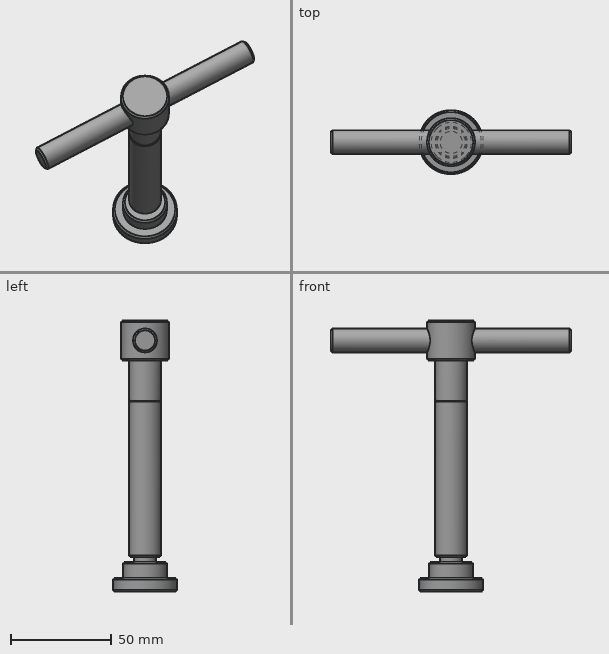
import cadquery as cq

flange_diameter = 32.0
flange_height = 7.0
collar_diameter = 22.0
collar_height = 8.0
neck_diameter = 11.0
neck_height = 2.3

shaft_diameter = 16.0
thread_length = 78.0
shank_length = 20.0
groove_width = 0.6
groove_depth = 0.4

head_diameter = 24.0
head_height = 20.0
bar_diameter = 12.0
bar_length = 120.0

edge_chamfer = 1.0

collar_base = flange_height
neck_base = collar_base + collar_height
thread_base = neck_base + neck_height
shank_base = thread_base + thread_length
head_base = shank_base + shank_length
bar_height = head_base + head_height / 2


def cylinder(diameter, height, base):
    """Upright cylinder on the Z axis, starting at the given height."""
    return cq.Workplane("XY").workplane(offset=base).circle(diameter / 2).extrude(height)


def make_pad():
    """Chamfered flange, stepped collar and the narrow neck above it."""
    flange = cylinder(flange_diameter, flange_height, 0).edges().chamfer(edge_chamfer)
    collar = cylinder(collar_diameter, collar_height, collar_base).faces(">Z").edges().chamfer(edge_chamfer)
    neck = cylinder(neck_diameter, neck_height, neck_base)
    return flange.union(collar).union(neck)


def make_groove():
    """Square-cornered ring whose upper edge is at the foot of the shank."""
    base = shank_base - groove_width
    ring = cylinder(shaft_diameter, groove_width, base)
    return ring.cut(cylinder(shaft_diameter - 2 * groove_depth, groove_width, base))


def make_shaft():
    """Shaft with a chamfered lower end and the fine groove."""
    shaft = cylinder(shaft_diameter, thread_length + shank_length, thread_base)
    return shaft.faces("<Z").edges().chamfer(edge_chamfer).cut(make_groove())


def make_head():
    """Head chamfered at both ends."""
    return cylinder(head_diameter, head_height, head_base).edges().chamfer(edge_chamfer)


def make_bar():
    """Cross bar along X, centred in the head and chamfered at both ends."""
    plane = cq.Workplane("YZ", origin=(0, 0, bar_height))
    return plane.circle(bar_diameter / 2).extrude(bar_length / 2, both=True).edges().chamfer(edge_chamfer)


result = make_pad().union(make_shaft()).union(make_head()).union(make_bar())